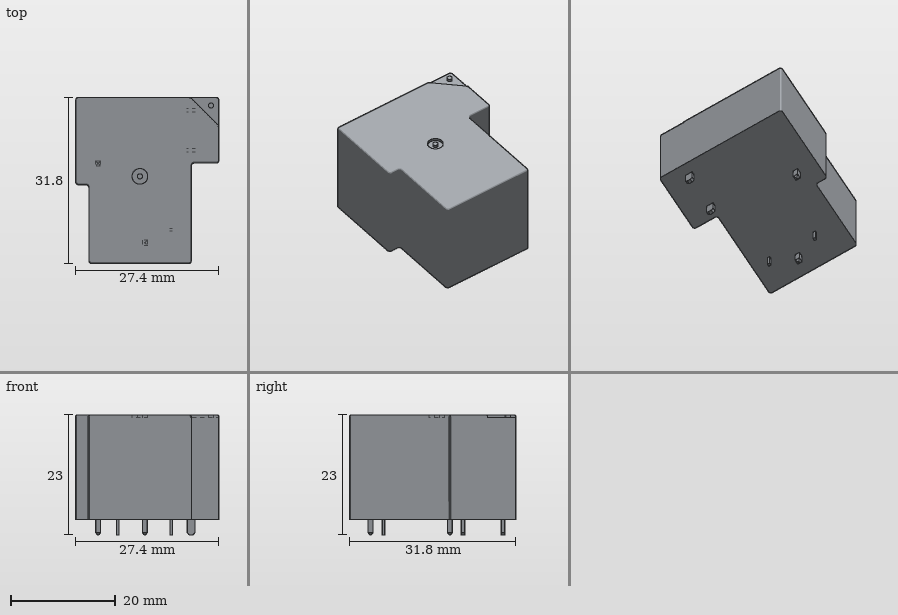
import cadquery as cq

width = 27.4
depth = 31.8
total_height = 23.0
pin_length = 3.0
housing_height = total_height - pin_length

front_left = 2.5
front_right = 22.1
left_shoulder_y = 15.08
right_shoulder_y = 19.2
corner_radius = 0.55
top_edge_radius = 0.32

shelf_leg = 5.47
shelf_drop = 0.5

recess_center = (12.28, 16.7)
recess_diameter = 3.0
recess_depth = 0.5

stud_diameter = 1.0
stud_height = 0.5
shelf_stud_center = (25.9, 30.25)

pin_tip_height = 0.48
pin_tip_inset = 0.4
square_pin_side = 1.0
square_pin_centers = [(4.3, 19.18), (13.23, 4.0)]
thin_pin_side = 0.5
thin_pin_centers = [(8.05, 6.5), (18.3, 6.5)]
blade_width = 1.5
blade_thickness = 0.7
blade_centers = [(22.08, 29.33), (22.08, 21.7)]


def make_housing():
    """Stepped block with rounded corners, corner shelf and rounded top edges."""
    outline = [
        (front_left, 0),
        (front_right, 0),
        (front_right, right_shoulder_y),
        (width, right_shoulder_y),
        (width, depth),
        (0, depth),
        (0, left_shoulder_y),
        (front_left, left_shoulder_y),
    ]
    block = cq.Workplane("XY").polyline(outline).close().extrude(housing_height)
    block = block.edges("|Z").fillet(corner_radius)

    shelf_cut = (
        cq.Workplane("XY", origin=(0, 0, housing_height - shelf_drop))
        .polyline([(width - shelf_leg, depth), (width, depth), (width, depth - shelf_leg)])
        .close()
        .extrude(shelf_drop)
    )
    return block.cut(shelf_cut).faces(">Z").edges().fillet(top_edge_radius)


def make_cylinder(center, diameter, bottom_z, height):
    """Upright cylinder standing on the given level."""
    return cq.Workplane("XY", origin=(*center, bottom_z)).circle(diameter / 2).extrude(height)


def make_tapered_bar(plane, center, span, thickness):
    """Bar centred on a pin, its end narrowed across the given span only."""
    half = span / 2
    tip_half = half - pin_tip_inset
    shoulder_z = pin_tip_height - pin_length
    return (
        cq.Workplane(plane, origin=(*center, 0))
        .polyline([
            (-half, 0),
            (half, 0),
            (half, shoulder_z),
            (tip_half, -pin_length),
            (-tip_half, -pin_length),
            (-half, shoulder_z),
        ])
        .close()
        .extrude(thickness / 2, both=True)
    )


def make_square_pin(center):
    """Square pin tapered on all four sides, as the overlap of two crossed bars."""
    bar_tapered_in_x = make_tapered_bar("XZ", center, square_pin_side, square_pin_side)
    bar_tapered_in_y = make_tapered_bar("YZ", center, square_pin_side, square_pin_side)
    return bar_tapered_in_x.intersect(bar_tapered_in_y)


def make_thin_pin(center):
    """Thin square pin with a flat end."""
    return cq.Workplane("XY").center(*center).rect(thin_pin_side, thin_pin_side).extrude(-pin_length)


def make_blade(center):
    """Flat pin whose end tapers across its width only."""
    return make_tapered_bar("XZ", center, blade_width, blade_thickness)


recess_floor = housing_height - recess_depth
shelf_level = housing_height - shelf_drop

result = make_housing()
result = result.cut(make_cylinder(recess_center, recess_diameter, recess_floor, recess_depth))
result = result.union(make_cylinder(recess_center, stud_diameter, recess_floor, stud_height))
result = result.union(make_cylinder(shelf_stud_center, stud_diameter, shelf_level, stud_height))

for pin_center in square_pin_centers:
    result = result.union(make_square_pin(pin_center))
for pin_center in thin_pin_centers:
    result = result.union(make_thin_pin(pin_center))
for pin_center in blade_centers:
    result = result.union(make_blade(pin_center))